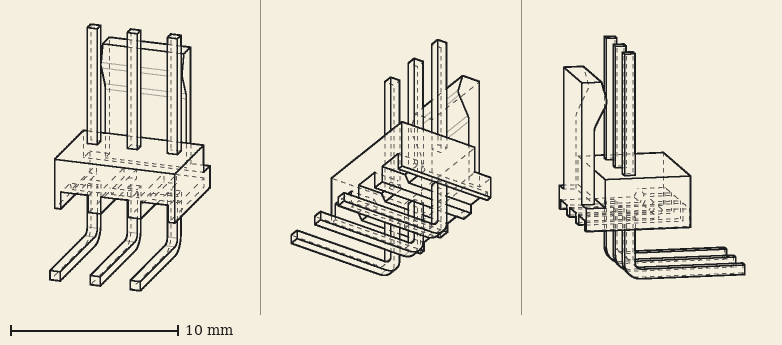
import cadquery as cq

pin_count = 3
pitch = 2.54
pin_width = 0.65
pin_y = -2.87
pin_top = 13.72
leg_end_y = -9.9
leg_height = 0.59
inner_bend_radius = 0.41
outer_bend_radius = inner_bend_radius + leg_height

base_width = pin_count * pitch
base_depth = 6.38
base_bottom = 3.2
base_height = 3.13
base_top = base_bottom + base_height
ledge_depth = 1.15
ledge_height = 1.4
ledge_top = base_bottom + ledge_height

groove_width = 1.74
groove_back_height = 0.59
groove_front_height = 1.08
groove_front_length = 1.65
groove_slope_length = 0.26

latch_width = 5.15
latch_thickness = 0.75
latch_top = 12.02
latch_top_thickness = 1.21
barb_reach = 1.55
barb_tip_z = 10.75
barb_root_z = 9.18
barb_tip_radius = 0.51
barb_root_radius = 0.81

pin_positions = [(i - (pin_count - 1) / 2) * pitch for i in range(pin_count)]


def extrude_side_profile(points, width, center_x=0):
    """Extrude a closed (Y, Z) outline symmetrically about center_x."""
    sketch = cq.Workplane("YZ", origin=(center_x, 0, 0)).polyline(points).close()
    return sketch.extrude(width / 2, both=True)


def round_edge(body, y, z, radius):
    """Round the edge along X that passes through (y, z)."""
    edge_point = (body.val().Center().x, y, z)
    edge = body.edges("|X").edges(cq.selectors.NearestToPointSelector(edge_point))
    return edge.fillet(radius)


def make_base():
    """Housing block with a low ledge along its back."""
    return extrude_side_profile(
        [
            (0, base_bottom),
            (-base_depth, base_bottom),
            (-base_depth, base_top),
            (-ledge_depth, base_top),
            (-ledge_depth, ledge_top),
            (0, ledge_top),
        ],
        base_width,
    )


def make_groove(x):
    """Cutter for an underside groove whose roof steps up towards the front."""
    back_roof = base_bottom + groove_back_height
    front_roof = base_bottom + groove_front_height
    slope_front_y = -base_depth + groove_front_length
    return extrude_side_profile(
        [
            (0, base_bottom),
            (-base_depth, base_bottom),
            (-base_depth, front_roof),
            (slope_front_y, front_roof),
            (slope_front_y + groove_slope_length, back_roof),
            (0, back_roof),
        ],
        groove_width,
        x,
    )


def make_latch():
    """Upright tongue ending in a rounded barb that faces the pins."""
    latch = extrude_side_profile(
        [
            (0, ledge_top),
            (-latch_thickness, ledge_top),
            (-latch_thickness, barb_root_z),
            (-barb_reach, barb_tip_z),
            (-latch_top_thickness, latch_top),
            (0, latch_top),
        ],
        latch_width,
    )
    latch = round_edge(latch, -barb_reach, barb_tip_z, barb_tip_radius)
    return round_edge(latch, -latch_thickness, barb_root_z, barb_root_radius)


def make_pin(x):
    """Square pin bent forward below the housing."""
    back_y = pin_y + pin_width / 2
    front_y = pin_y - pin_width / 2
    pin = extrude_side_profile(
        [
            (back_y, 0),
            (back_y, pin_top),
            (front_y, pin_top),
            (front_y, leg_height),
            (leg_end_y, leg_height),
            (leg_end_y, 0),
        ],
        pin_width,
        x,
    )
    pin = round_edge(pin, front_y, leg_height, inner_bend_radius)
    return round_edge(pin, back_y, 0, outer_bend_radius)


result = make_base()
for pin_x in pin_positions:
    result = result.cut(make_groove(pin_x))
result = result.union(make_latch())
for pin_x in pin_positions:
    result = result.union(make_pin(pin_x))